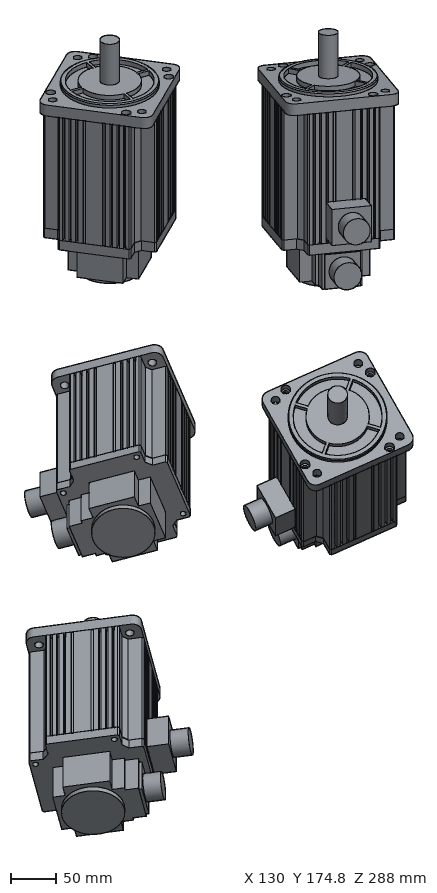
import cadquery as cq


disc_height = 6.0
cover_height = 45.2
cap_height = 12.0
stator_height = 154.5
flange_height = 13.8
pilot_height = 5.2
shaft_length = 51.3

cover_z = disc_height
cap_z = cover_z + cover_height
stator_z = cap_z + cap_height
flange_z = stator_z + stator_height
pilot_z = flange_z + flange_height
pilot_top_z = pilot_z + pilot_height
shaft_top_z = pilot_top_z + shaft_length

frame_width = 130.0
shaft_diameter = 22.0
flange_corner_radius = 10.5
pilot_diameter = 110.0
pilot_chamfer_width = 1.0
pilot_chamfer_height = 1.7
recess_outer_diameter = 98.5
hub_diameter = 70.3
recess_depth = 5.8
spoke_width = 3.5
mount_hole_offset = 51.3
mount_hole_diameter = 9.5
screw_x = -35.0
screw_y = 58.2
screw_hole_diameter = 6.3
counterbore_diameter = 10.7
counterbore_depth = 8.5

stator_width = 129.5
notch_offset = 41.8
notch_edge_bevel = 1.7
stator_notch_fill = 5.8
cap_notch_fill = 6.5
fin_groove_width = 2.5
fin_groove_depth = 5.8
fin_groove_offsets = [20.0, 27.6, 34.8]
panel_groove_offset = 11.2
panel_groove_depth = 1.2

cover_width = 81.0
cover_notch_offset = 26.5
disc_diameter = 70.3
outlet_width = 46.0
outlet_end_y = 55.5

encoder_plate_size = 41.0
encoder_plate_thickness = 3.5
encoder_plug_diameter = 32.0
encoder_plug_end_y = 79.0
encoder_z = 27.5

power_x = -1.5
power_z = 90.7
power_box_width = 45.5
power_box_height = 42.5
power_box_end_y = 89.3
power_plug_diameter = 30.8
overall_depth = 174.8
power_plug_end_y = overall_depth - frame_width / 2

quarter_turns = [0, 90, 180, 270]


def block(x_size, z_size, y_start, y_end, x, z):
    """Box centred on (x, z) that runs from y_start to y_end."""
    y_length = y_end - y_start
    return cq.Workplane("XY").box(x_size, y_length, z_size).translate((x, y_start + y_length / 2, z))


def plug(diameter, y_start, y_end, x, z):
    """Round plug along +Y that runs from y_start to y_end."""
    axis_plane = cq.Plane(origin=(x, y_start, z), xDir=(1, 0, 0), normal=(0, 1, 0))
    return cq.Workplane(axis_plane).circle(diameter / 2).extrude(y_end - y_start)


def cylinder(diameter, z_bottom, z_top):
    """Upright cylinder on the motor axis."""
    return cq.Workplane("XY").workplane(offset=z_bottom).circle(diameter / 2).extrude(z_top - z_bottom)


def screw_cylinders(diameter, z_bottom, z_top):
    """Upright cylinders at the four assembly screws, set out in quarter turns."""
    first = cylinder(diameter, z_bottom, z_top).translate((screw_x, screw_y, 0))
    cutters = cq.Workplane("XY")
    for angle in quarter_turns:
        cutters = cutters.add(first.rotate((0, 0, 0), (0, 0, 1), angle))
    return cutters.combine()


def notched_prism(width, notch_fill, z_bottom, height):
    """Square prism with a notch in each corner; the notch has bevelled edges and a sloped inner corner."""
    half = width / 2
    corner_notch = (
        cq.Workplane("XY")
        .workplane(offset=z_bottom)
        .moveTo(half, notch_offset - notch_edge_bevel)
        .lineTo(half - notch_edge_bevel, notch_offset)
        .lineTo(notch_offset + notch_fill, notch_offset)
        .lineTo(notch_offset, notch_offset + notch_fill)
        .lineTo(notch_offset, half - notch_edge_bevel)
        .lineTo(notch_offset - notch_edge_bevel, half)
        .lineTo(half, half)
        .close()
        .extrude(height)
    )
    prism = cq.Workplane("XY").workplane(offset=z_bottom).rect(width, width).extrude(height)
    for angle in quarter_turns:
        prism = prism.cut(corner_notch.rotate((0, 0, 0), (0, 0, 1), angle))
    return prism


def make_shaft():
    """Plain round shaft from the stator face to the tip."""
    return cylinder(shaft_diameter, flange_z, shaft_top_z)


def make_pilot_recess():
    """Ring-shaped pocket around the hub, interrupted by four diagonal spokes."""
    recess_floor_z = pilot_top_z - recess_depth
    ring = cylinder(recess_outer_diameter, recess_floor_z, pilot_top_z)
    ring = ring.cut(cylinder(hub_diameter, recess_floor_z, pilot_top_z))
    for angle in (45, 135):
        spoke_pair = (
            cq.Workplane("XY")
            .workplane(offset=recess_floor_z)
            .rect(recess_outer_diameter, spoke_width)
            .extrude(recess_depth)
            .rotate((0, 0, 0), (0, 0, 1), angle)
        )
        ring = ring.cut(spoke_pair)
    return ring


def make_flange():
    """Front flange with its pilot, spoked recess, shaft bore, mounting holes and screw holes."""
    plate = (
        cq.Workplane("XY")
        .workplane(offset=flange_z)
        .rect(frame_width, frame_width)
        .extrude(flange_height)
        .edges("|Z")
        .fillet(flange_corner_radius)
    )
    pilot = (
        cylinder(pilot_diameter, pilot_z, pilot_top_z)
        .faces(">Z")
        .chamfer(pilot_chamfer_height, pilot_chamfer_width)
    )
    mount_holes = (
        cq.Workplane("XY")
        .workplane(offset=flange_z)
        .rect(2 * mount_hole_offset, 2 * mount_hole_offset, forConstruction=True)
        .vertices()
        .circle(mount_hole_diameter / 2)
        .extrude(flange_height)
    )
    return (
        plate.union(pilot)
        .cut(make_pilot_recess())
        .cut(cylinder(shaft_diameter, flange_z, pilot_top_z))
        .cut(mount_holes)
        .cut(screw_cylinders(screw_hole_diameter, flange_z, pilot_z))
        .cut(screw_cylinders(counterbore_diameter, pilot_z - counterbore_depth, pilot_z))
    )


def side_groove(offset, depth):
    """Cutter for one full-height groove in the -Y side of the stator."""
    face_y = -stator_width / 2
    return block(fin_groove_width, stator_height, face_y, face_y + depth, offset, stator_z + stator_height / 2)


def make_stator():
    """Finned housing: deep grooves beside a wide panel edged by two shallow ones on every side."""
    stator = notched_prism(stator_width, stator_notch_fill, stator_z, stator_height)
    grooves = cq.Workplane("XY")
    for side in (-1, 1):
        grooves = grooves.add(side_groove(side * panel_groove_offset, panel_groove_depth))
        for offset in fin_groove_offsets:
            grooves = grooves.add(side_groove(side * offset, fin_groove_depth))
    grooves = grooves.combine()
    for angle in quarter_turns:
        stator = stator.cut(grooves.rotate((0, 0, 0), (0, 0, 1), angle))
    return stator


def make_cap():
    """Rear cap: the notched outline without grooves, drilled for the assembly screws."""
    cap = notched_prism(frame_width, cap_notch_fill, cap_z, cap_height)
    return cap.cut(screw_cylinders(screw_hole_diameter, cap_z, stator_z))


def make_encoder_cover():
    """Square cover with a square notch in each corner and a cable outlet block on the +Y side."""
    half = cover_width / 2
    middle_z = cover_z + cover_height / 2
    body = block(cover_width, cover_height, -cover_notch_offset, cover_notch_offset, 0, middle_z)
    cross_bar = block(2 * cover_notch_offset, cover_height, -half, half, 0, middle_z)
    outlet = block(outlet_width, cover_height, 0, outlet_end_y, 0, middle_z)
    return body.union(cross_bar).union(outlet)


def make_rear_disc():
    """Round disc closing the encoder cover."""
    return cylinder(disc_diameter, 0, disc_height)


def make_encoder_connector():
    """Square plate with a round plug, on the end of the cable outlet."""
    plate_end_y = outlet_end_y + encoder_plate_thickness
    plate = block(encoder_plate_size, encoder_plate_size, outlet_end_y, plate_end_y, 0, encoder_z)
    return plate.union(plug(encoder_plug_diameter, plate_end_y, encoder_plug_end_y, 0, encoder_z))


def make_power_connector():
    """Rectangular box on the +Y side of the stator with a round plug."""
    box = block(power_box_width, power_box_height, stator_width / 2, power_box_end_y, power_x, power_z)
    return box.union(plug(power_plug_diameter, power_box_end_y, power_plug_end_y, power_x, power_z))


shaft = make_shaft()
flange = make_flange()
stator = make_stator()
cap = make_cap()
encoder_cover = make_encoder_cover()
rear_disc = make_rear_disc()
encoder_connector = make_encoder_connector()
power_connector = make_power_connector()

result = cq.Compound.makeCompound(
    [
        shaft.val(),
        flange.val(),
        stator.val(),
        cap.val(),
        encoder_cover.val(),
        rear_disc.val(),
        encoder_connector.val(),
        power_connector.val(),
    ]
)